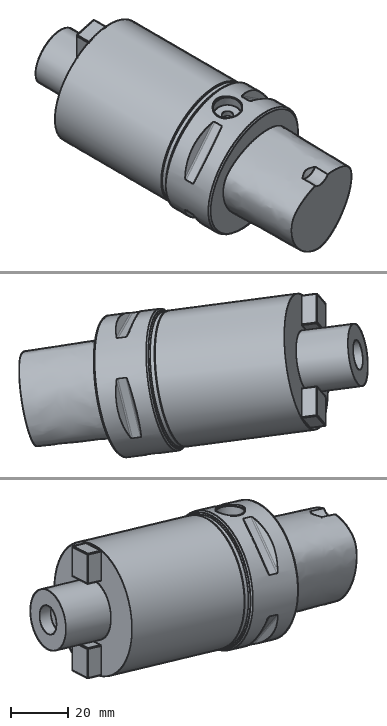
import cadquery as cq
import math

total_length = 119.0
body_start = 19.0
neck_start = 66.5
flange_start = 68.9
flange_end = 89.0

spigot_diameter = 22.0
body_diameter = 48.0
neck_diameter = 47.5
neck_ramp_length = 0.4
neck_corner_chamfer = 0.5
flange_diameter = 50.0
flange_chamfer = 0.6

bore_diameter = 10.5
bore_depth = 4.8

key_start = 13.3
key_width = 9.9
key_inner = 11.9
key_outer = 23.2
key_chamfer = 0.3

groove_x = 78.9
groove_floor_radius = 22.3
groove_floor_width = 3.7
groove_rim_width = 6.7
groove_floor_fillet = 0.6
groove_angles = (45, 135, 225, 315)

pocket_x = 77.0
pocket_diameter = 10.0
pocket_rim_diameter = 10.5
pocket_depth = 4.5
pilot_diameter = 4.0
pilot_depth = 2.4

shank_mean_radius = 17.4
shank_end_mean_radius = 16.8
lobe_height = 1.2
lobe_points = 48

keyway_diameter = 8.6
keyway_depth = 5.7
keyway_axis_z = 17.8
drill_half_angle = math.radians(59)


def turned_body():
    """Spigot, body, neck and chamfered flange as one revolved profile."""
    spigot_r = spigot_diameter / 2
    body_r = body_diameter / 2
    neck_r = neck_diameter / 2
    flange_r = flange_diameter / 2
    profile = [
        (0, 0),
        (0, spigot_r),
        (body_start, spigot_r),
        (body_start, body_r),
        (neck_start, body_r),
        (neck_start + neck_ramp_length, neck_r),
        (flange_start - neck_corner_chamfer, neck_r),
        (flange_start, neck_r + neck_corner_chamfer),
        (flange_start, flange_r - flange_chamfer),
        (flange_start + flange_chamfer, flange_r),
        (flange_end - flange_chamfer, flange_r),
        (flange_end, flange_r - flange_chamfer),
        (flange_end, 0),
    ]
    return cq.Workplane("XY").polyline(profile).close().revolve(360, (0, 0, 0), (1, 0, 0))


def lobed_wire(x, mean_radius):
    """Closed three-lobed curve at station x, with one lobe toward -Z.

    The distance from the axis to the tangent line varies as mean_radius + lobe_height * cos(3a).
    """
    points = []
    for i in range(lobe_points):
        angle = 2 * math.pi * i / lobe_points
        reach = mean_radius + lobe_height * math.cos(3 * angle)
        slope = -3 * lobe_height * math.sin(3 * angle)
        y = reach * math.sin(angle) + slope * math.cos(angle)
        z = -reach * math.cos(angle) + slope * math.sin(angle)
        points.append(cq.Vector(x, y, z))
    return cq.Wire.assembleEdges([cq.Edge.makeSpline(points, periodic=True)])


def shank():
    root = lobed_wire(flange_end, shank_mean_radius)
    tip = lobed_wire(total_length, shank_end_mean_radius)
    return cq.Workplane(obj=cq.Solid.makeLoft([root, tip], True))


def drill(diameter, depth):
    """Drill-shaped cutter entering at the origin along -Z, with a conical tip below depth."""
    radius = diameter / 2
    tip_length = radius / math.tan(drill_half_angle)
    profile = [(0, 0), (radius, 0), (radius, -depth), (0, -depth - tip_length)]
    return cq.Workplane("XZ").polyline(profile).close().revolve(360, (0, 0, 0), (0, 1, 0))


def drive_key():
    """Upper drive key, chamfered around its front face and along its long edges."""
    length = body_start - key_start
    return (
        cq.Workplane("XY")
        .box(length, key_width, key_outer - key_inner, centered=(False, True, False))
        .edges("<X or |X")
        .chamfer(key_chamfer)
        .translate((key_start, 0, key_inner))
    )


def gripper_groove():
    """Flat-bottomed groove with flared walls, cut straight across the top of the flange."""
    rim_radius = flange_diameter / 2
    section = [
        (groove_x - groove_floor_width / 2, groove_floor_radius),
        (groove_x + groove_floor_width / 2, groove_floor_radius),
        (groove_x + groove_rim_width / 2, rim_radius),
        (groove_x - groove_rim_width / 2, rim_radius),
    ]
    groove = cq.Workplane("XZ").polyline(section).close().extrude(rim_radius, both=True)
    return groove.faces("<Z").edges("|Y").fillet(groove_floor_fillet)


def coolant_pocket():
    rim_z = flange_diameter / 2
    floor_z = rim_z - pocket_depth
    rim_step = (pocket_rim_diameter - pocket_diameter) / 2
    rim_base_z = math.sqrt(rim_z**2 - (pocket_rim_diameter / 2) ** 2) - rim_step
    pocket = (
        cq.Workplane("XY", origin=(pocket_x, 0, floor_z))
        .circle(pocket_diameter / 2)
        .extrude(pocket_depth)
    )
    rim = (
        cq.Workplane("XY", origin=(pocket_x, 0, rim_base_z))
        .circle(pocket_rim_diameter / 2)
        .extrude(rim_z - rim_base_z)
    )
    pilot = drill(pilot_diameter, pilot_depth).translate((pocket_x, 0, floor_z))
    return pocket.union(rim).union(pilot)


def shank_keyway():
    cutter = drill(keyway_diameter, keyway_depth)
    return cutter.rotate((0, 0, 0), (0, 1, 0), 90).translate((total_length, 0, keyway_axis_z))


result = turned_body().union(shank())

for angle in (0, 180):
    result = result.union(drive_key().rotate((0, 0, 0), (1, 0, 0), angle))

for angle in groove_angles:
    result = result.cut(gripper_groove().rotate((0, 0, 0), (1, 0, 0), angle))

spigot_bore = cq.Workplane("YZ").circle(bore_diameter / 2).extrude(bore_depth)
result = result.cut(spigot_bore).cut(coolant_pocket()).cut(shank_keyway())